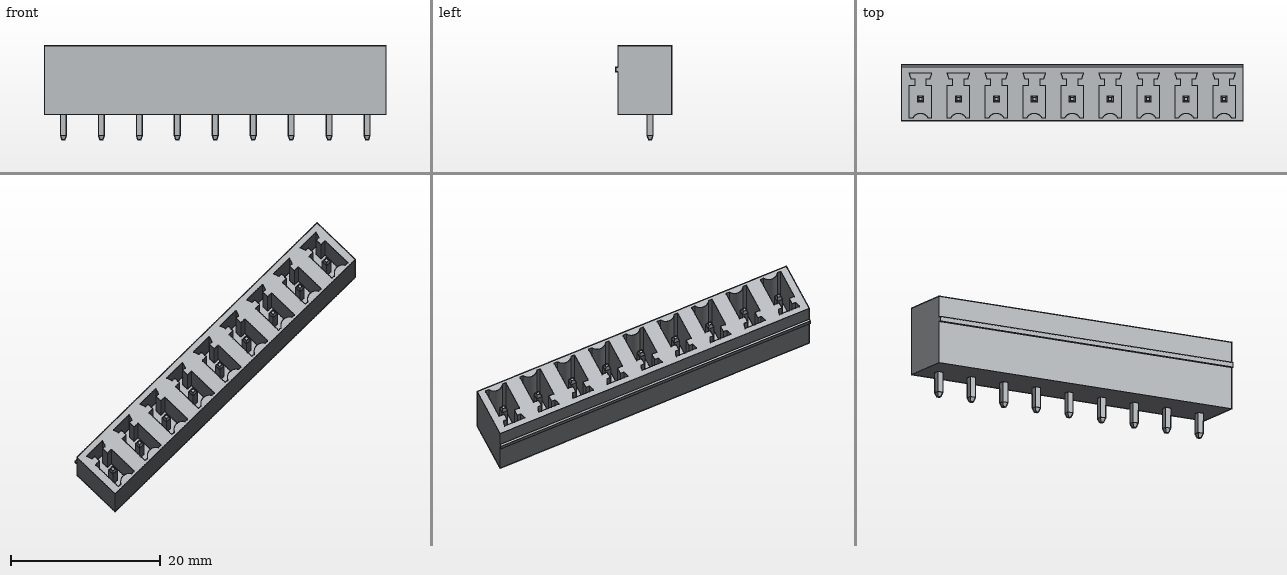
import cadquery as cq

pin_count = 9
length = 45.7
pitch = length / pin_count
depth = 7.22
height = 9.25

rib_projection = 0.3
rib_height = 0.65
rib_top = 6.35

cavity_floor = 1.85
cavity_width = 3.0
cavity_front = 0.4
shoulder_y = 4.7
neck_width = 1.5
neck_end_y = 5.62
cavity_back = 6.4
keyway_inner_width = 2.5
key_width = 2.0
key_rise = 0.6

pin_width = 0.82
pin_tip_width = 0.4
pin_taper = 0.6
pin_y = 2.93
pin_bottom = -3.4
pin_top = 7.75


def housing_with_rib():
    housing = cq.Workplane("XY").box(length, depth, height, centered=(True, False, False))
    rib = (
        cq.Workplane("XY", origin=(0, 0, rib_top - rib_height))
        .box(length, depth + rib_projection, rib_height, centered=(True, False, False))
    )
    return housing.union(rib)


def pole_cavity(x):
    """Keyed pocket: wide contact chamber, narrow neck and flared keyway at the back."""
    return (
        cq.Workplane("XY", origin=(x, 0, cavity_floor))
        .moveTo(-key_width / 2, cavity_front)
        .threePointArc((0, cavity_front + key_rise), (key_width / 2, cavity_front))
        .lineTo(cavity_width / 2, cavity_front)
        .lineTo(cavity_width / 2, shoulder_y)
        .lineTo(neck_width / 2, shoulder_y)
        .lineTo(neck_width / 2, neck_end_y)
        .lineTo(keyway_inner_width / 2, neck_end_y)
        .lineTo(cavity_width / 2, cavity_back)
        .lineTo(-cavity_width / 2, cavity_back)
        .lineTo(-keyway_inner_width / 2, neck_end_y)
        .lineTo(-neck_width / 2, neck_end_y)
        .lineTo(-neck_width / 2, shoulder_y)
        .lineTo(-cavity_width / 2, shoulder_y)
        .lineTo(-cavity_width / 2, cavity_front)
        .close()
        .extrude(height - cavity_floor)
    )


def tapered_end(x, base_z, tip_z):
    return (
        cq.Workplane("XY", origin=(x, pin_y, base_z))
        .rect(pin_width, pin_width)
        .workplane(offset=tip_z - base_z)
        .rect(pin_tip_width, pin_tip_width)
        .loft(ruled=True)
    )


def contact_pin(x):
    shank_bottom = pin_bottom + pin_taper
    shank_top = pin_top - pin_taper
    shank = (
        cq.Workplane("XY", origin=(x, pin_y, shank_bottom))
        .rect(pin_width, pin_width)
        .extrude(shank_top - shank_bottom)
    )
    lower_end = tapered_end(x, shank_bottom, pin_bottom)
    upper_end = tapered_end(x, shank_top, pin_top)
    return shank.union(lower_end).union(upper_end)


result = housing_with_rib()
for pole in range(pin_count):
    pole_x = (pole - (pin_count - 1) / 2) * pitch
    result = result.cut(pole_cavity(pole_x)).union(contact_pin(pole_x))